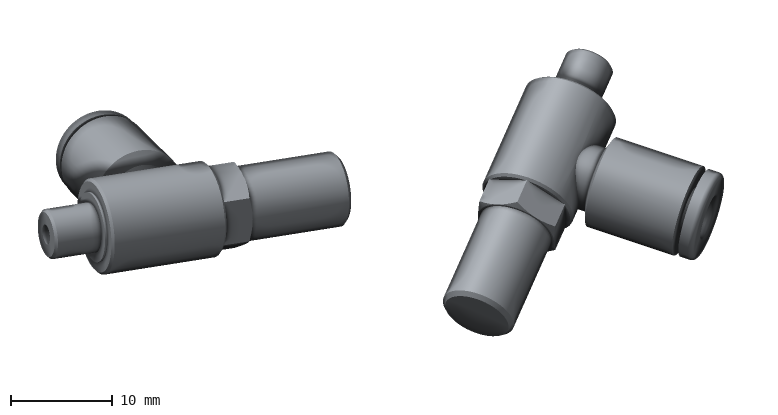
import cadquery as cq
import math


body_radius = 4.8
body_front_y = -7.2
body_back_y = 5.0
body_chamfer = 0.25

seat_radius = 3.5
seat_height = 0.25
stub_radius = 2.5
stub_end_y = -12.3
stub_chamfer = 0.25

hex_across_flats = 8.0
hex_back_y = 8.0
hex_chamfer_angle = 30.0
hex_sides = 6
hex_half_sector = 180 / hex_sides
total_length = 31.0
rod_radius = 3.75
rod_chamfer = 0.4

total_width = 22.1
arm_radius = 4.65
arm_cone_start = 6.0
arm_cone_end = 5.45
arm_outer_end = 15.15
neck_radius = 3.3
ring_radius = 4.55
ring_length = 1.5
ring_fillet = 0.5
ring_neck_radius = 2.5

tube_bore_radius = 2.0
tube_bore_lip = 0.5
tube_bore_bottom = 6.5
passage_radius = 1.0
bend_radius = 1.5

rod_end_y = stub_end_y + total_length
arm_length = total_width - body_radius


def cylinder_y(radius, start, end):
    """Cylinder on the Y axis from start to end."""
    face_plane = cq.Workplane("XZ", origin=(0, start, 0))
    return face_plane.circle(radius).extrude(start - end)


def cylinder_arm(radius, inner, outer):
    """Cylinder on the X axis between two distances from the main axis, on the -X side."""
    face_plane = cq.Workplane("YZ", origin=(-outer, 0, 0))
    return face_plane.circle(radius).extrude(outer - inner)


def make_body():
    body = cylinder_y(body_radius, body_front_y, body_back_y)
    return body.edges().chamfer(body_chamfer)


def make_stub():
    seat = cylinder_y(seat_radius, body_front_y - seat_height, 0)
    stub = cylinder_y(stub_radius, stub_end_y, 0)
    return seat.union(stub.faces("<Y").chamfer(stub_chamfer))


def make_hexagon():
    """Hexagon with flats facing +X and -X, its back corners cut by a cone."""
    flat_radius = hex_across_flats / 2
    corner_radius = flat_radius / math.cos(math.radians(hex_half_sector))
    prism = (
        cq.Workplane("XZ")
        .polygon(hex_sides, 2 * corner_radius)
        .extrude(-hex_back_y)
        .rotate((0, 0, 0), (0, 1, 0), hex_half_sector)
    )
    cone_height = (corner_radius - flat_radius) * math.tan(math.radians(hex_chamfer_angle))
    envelope = (
        cq.Workplane("XY")
        .lineTo(corner_radius, 0)
        .lineTo(corner_radius, hex_back_y - cone_height)
        .lineTo(flat_radius, hex_back_y)
        .lineTo(0, hex_back_y)
        .close()
        .revolve(360, (0, 0, 0), (0, 1, 0))
    )
    return prism.intersect(envelope)


def make_rod():
    return cylinder_y(rod_radius, 0, rod_end_y).faces(">Y").chamfer(rod_chamfer)


def make_arm():
    neck = cylinder_arm(neck_radius, 0, arm_cone_start)
    sleeve = (
        cq.Workplane("XY")
        .moveTo(-arm_outer_end, 0)
        .lineTo(-arm_outer_end, arm_radius)
        .lineTo(-arm_cone_start, arm_radius)
        .lineTo(-arm_cone_end, neck_radius)
        .lineTo(-arm_cone_end, 0)
        .close()
        .revolve(360, (0, 0, 0), (1, 0, 0))
    )
    ring_neck = cylinder_arm(ring_neck_radius, arm_cone_start, arm_length - ring_fillet)
    ring = cylinder_arm(ring_radius, arm_length - ring_length, arm_length)
    ring = ring.faces("<X").edges().fillet(ring_fillet)
    return neck.union(sleeve).union(ring_neck).union(ring)


def make_tube_bore():
    """Blind bore for the tube, opening outward in a rounded mouth."""
    mouth_radius = tube_bore_radius + tube_bore_lip
    lip_start = arm_length - tube_bore_lip
    arc_offset = tube_bore_lip * (1 - math.sqrt(0.5))
    return (
        cq.Workplane("XY")
        .moveTo(-tube_bore_bottom, 0)
        .lineTo(-tube_bore_bottom, tube_bore_radius)
        .lineTo(-lip_start, tube_bore_radius)
        .threePointArc(
            (-arm_length + arc_offset, tube_bore_radius + arc_offset),
            (-arm_length, mouth_radius),
        )
        .lineTo(-arm_length, 0)
        .close()
        .revolve(360, (0, 0, 0), (1, 0, 0))
    )


def make_passage():
    """Passage from the stub end to the tube bore, turning through a quarter bend."""
    from_stub = cylinder_y(passage_radius, stub_end_y, -bend_radius)
    from_arm = cylinder_arm(passage_radius, bend_radius, tube_bore_bottom)
    bend = (
        cq.Workplane("XZ", origin=(0, -bend_radius, 0))
        .circle(passage_radius)
        .revolve(90, (-bend_radius, -1, 0), (-bend_radius, 1, 0))
    )
    return from_stub.union(bend).union(from_arm)


solid = make_body().union(make_stub()).union(make_hexagon()).union(make_rod()).union(make_arm())
result = solid.cut(make_tube_bore()).cut(make_passage())